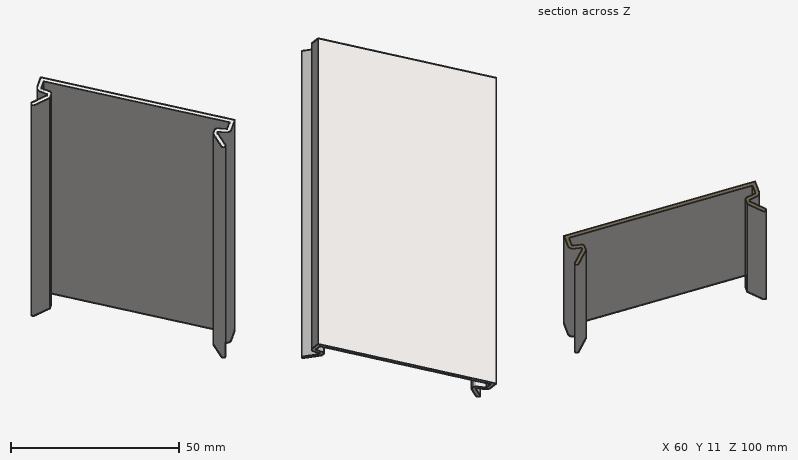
import cadquery as cq
import math

cover_width = 60.0
cover_length = 100.0
cover_depth = 11.0
thickness = 1.3
lip_inner_depth = 4.0
hook_reach = 4.8
arm_angle = math.radians(10)
leg_angle = math.radians(47)
lip_radius = 1.6
hook_radius = 1.0
notch_radius = 0.3

tip_radius = thickness / 2
outer_x = -cover_width / 2
inner_x = outer_x + thickness
hook_x = outer_x + hook_reach


def polar(point, distance, angle):
    """Point at a distance and direction from another point."""
    return (point[0] + distance * math.cos(angle), point[1] + distance * math.sin(angle))


def height_on_line(point, angle, x):
    """Y of a sloped line, given by a point and its direction, at position x."""
    return point[1] + (x - point[0]) * math.tan(angle)


def round_corner(outline, start_angle, corner, end_angle, radius):
    """Run the outline up to a corner and round it; angles are the headings before and after."""
    turn = math.remainder(end_angle - start_angle, 2 * math.pi)
    setback = radius * math.tan(abs(turn) / 2)
    arc_start = polar(corner, -setback, start_angle)
    arc_end = polar(corner, setback, end_angle)
    side = math.copysign(math.pi / 2, turn)
    center = polar(arc_start, radius, start_angle + side)
    arc_middle = polar(center, radius, start_angle + turn / 2 - side)
    return outline.lineTo(*arc_start).threePointArc(arc_middle, arc_end)


def make_plate():
    """Flat cover plate with its back at Y = 0."""
    plate = cq.Workplane("XY").box(
        cover_width, thickness, cover_length, centered=(True, False, False)
    )
    return plate.translate((0, -thickness, 0))


def make_left_clip():
    """Lip, sloped arm and slanted leg, bent from one strip."""
    down = -math.pi / 2
    arm_in = -arm_angle
    arm_out = math.pi - arm_angle
    leg_in = leg_angle
    leg_out = leg_angle + math.pi

    lip_corner = (inner_x, -lip_inner_depth)
    arm_underside = polar(lip_corner, thickness, arm_in + down)
    tip_center = (outer_x + tip_radius, tip_radius - cover_depth)
    tip_upper = polar(tip_center, tip_radius, leg_in - down)
    tip_lower = polar(tip_center, tip_radius, leg_in + down)

    lip_outer_corner = (outer_x, height_on_line(arm_underside, arm_in, outer_x))
    gap_at_lip = lip_outer_corner[1] - height_on_line(tip_upper, leg_in, outer_x)
    notch_x = outer_x + gap_at_lip / (math.tan(leg_angle) + math.tan(arm_angle))
    notch_corner = (notch_x, height_on_line(tip_upper, leg_in, notch_x))
    hook_lower_corner = (hook_x, height_on_line(tip_lower, leg_in, hook_x))
    hook_upper_corner = (hook_x, height_on_line(lip_corner, arm_in, hook_x))

    outline = cq.Workplane("XY").moveTo(outer_x, 0)
    outline = round_corner(outline, down, lip_outer_corner, arm_in, lip_radius)
    outline = round_corner(outline, arm_in, notch_corner, leg_out, notch_radius)
    outline = outline.lineTo(*tip_upper)
    outline = outline.threePointArc(polar(tip_center, tip_radius, leg_out), tip_lower)
    outline = outline.lineTo(*hook_lower_corner)
    outline = round_corner(outline, -down, hook_upper_corner, arm_out, hook_radius)
    outline = outline.lineTo(*lip_corner).lineTo(inner_x, 0).close()
    return outline.extrude(cover_length)


left_clip = make_left_clip()
right_clip = left_clip.mirror("YZ")
result = make_plate().union(left_clip).union(right_clip)